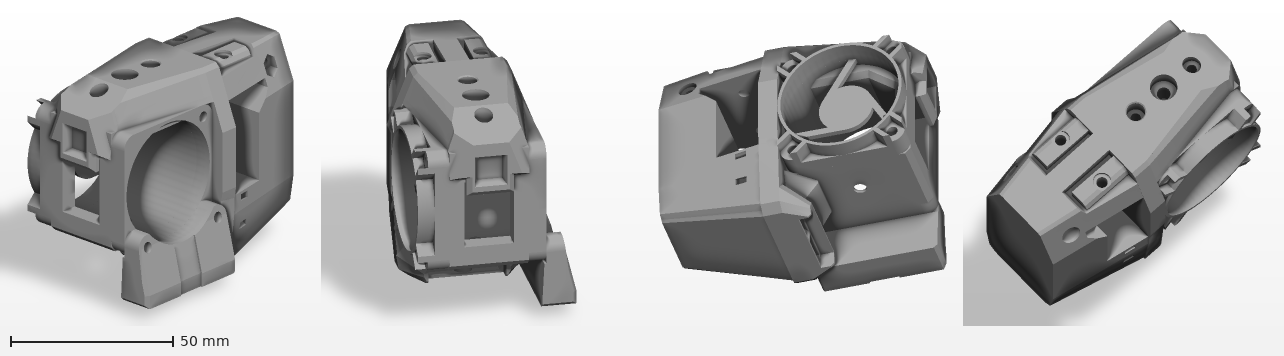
import cadquery as cq
import math


LENGTH = 83.3
HEIGHT = 68.4
FRAME_FRONT_Y = 43.0
FRAME_BACK_Y = 49.15
EPS = 0.8
FAR = 166.6

FAN_SIZE = 40.0
FAN_CORNER_R = 4.2
FAN_BORE_D = 38.0
FAN_HOLE_D = 3.5
FAN_HOLE_OFFSET = 16.0
FAN_CENTER_Y = FRAME_FRONT_Y - FAN_SIZE / 2
FAN_CENTER_Z = 38.3
FAN_OUTER_X = -22.5
FAN_INNER_X = -15.5
FAN_FLANGE_X = -17.2
FAN_SEAT_X = -19.25
FAN_RING_R = FAN_SIZE / 2
POST_HALF_WIDTH = 4.3
POST_SLOT_HALF_WIDTH = 2.8
POST_SLOT_REACH = 3.2

HUB_R = 8.7
STRUT_WIDTH = 2.2
STRUT_COUNT = 3
FIRST_STRUT_ANGLE = 120.0
HUB_THICKNESS = 1.7

HOUSING_HALF_X = 12.6
HOUSING_FRONT_Y = FAN_CENTER_Y - FAN_SIZE / 2
HOUSING_TOP_Z = FAN_CENTER_Z + FAN_SIZE / 2
HOUSING_BOTTOM_Z = FAN_CENTER_Z - FAN_SIZE / 2
HOUSING_BOTTOM_CHAMFER = 1.8
FRONT_WINDOW_HALF_X = 7.75
FRONT_WINDOW_BOTTOM_Z = 26.3
FRONT_WINDOW_TOP_Z = 48.3
CHAMBER_FRONT_Y = 8.6
CHAMBER_TOP_Z = 52.5
CHAMBER_SLOPE_Y = 17.1
CHAMBER_SLOPE_Z = 46.1
CHAMBER_LIP = 1.7

NOSE_BACK_Z = 49.4
NOSE_FRONT_Z = 51.2
NOSE_STRAIGHT_Y = 6.7
NOSE_SLOPE_Y = 15.0
NOSE_SLOPE_Z = 62.0
NOSE_FACET = [(5.7, 0, NOSE_SLOPE_Z), (9.75, 0, NOSE_FRONT_Z), (10.3, 5.0, 64.05)]
TAB_HALF_X = 7.5
TAB_BOTTOM_Z = 44.4
TAB_CHAMFER = 1.6
NOSE_POCKET_HALF_X = 5.1
NOSE_POCKET_BOTTOM_Z = 47.7
NOSE_POCKET_TOP_Z = 57.8
NOSE_POCKET_DEPTH = 3.3
NOSE_POCKET_BEVEL = 1.0

LID_BOTTOM_Z = 60.2
LID_BACK_Y = 40.0
LID_SCREW_OFFSET = 11.75
LID_SCREW_D = 3.2
LID_SCREW_HEAD_D = 5.8
LID_SCREW_CHAMFER_D = 6.6
FILAMENT_HOLE_Y = 22.9
FILAMENT_HOLE_D = 4.2
FILAMENT_COUNTERBORE_D = 8.5
COUNTERBORE_FLOOR_Z = 62.5
LID_SCREW_END_Z = 55.0

FOOT_FRONT_Y = 35.0
FOOT_TOE_CHAMFER = 1.0
FOOT_RECESS_HALF_X = 12.25
FOOT_RECESS_TOP_Z = 5.3
FOOT_RECESS_BACK_Y = 39.15
SLOT_HALF_X = 12.25
SLOT_BOTTOM_Z = 1.0
SLOT_TOP_Z = 4.3
SLOT_CORNER = 1.25
SLOT_DEPTH = 2.5
SLOT_PILLAR_D = 5.8
SPOUT_TOP_Z = 17.3
SPOUT_BOTTOM_Z = 6.7

RIGHT_PLATE_X = 18.1
DUCT_OUTLINE = [
    (18.1, 26.3), (23.65, 26.3), (24.15, 22.5), (27.7, 8.0), (27.7, 3.5),
    (16.7, 3.5), (17.4, 18.3), (18.1, 18.3),
]
DUCT_TOP_R = 4.2
DUCT_BOTTOM_R = 1.0
DUCT_FRONT_CHAMFER = 1.2
DUCT_RELIEF_DEPTH = 0.6
DUCT_RELIEF_Y = (18.3, 27.9)

COWL_WINDOW = [
    (FRAME_BACK_Y, 56.8), (70.05, 56.8), (70.05, 54.0), (63.8, 48.0), (63.8, 25.3), (FRAME_BACK_Y, 25.3),
]
COWL_POCKET_INNER_X = 3.7
COWL_POCKET_PROFILE = [(FRAME_BACK_Y, 63.9), (67.4, 63.9), (70.0, 69.1), (FRAME_BACK_Y, 69.1)]
COWL_PAD_OUTLINE = [(5.7, 63.9), (5.7, 67.1), (10.3, 67.1), (11.7, 66.3), (12.5, 64.8), (12.5, 63.9)]
COWL_PAD_BACK_Y = 66.6
COWL_SCREW_X = 9.4
COWL_SCREW_Y = 57.5
COWL_SCREW_D = 3.5
COWL_SCREW_HEAD_D = 5.7
COWL_SCREW_SEAT_Z = 66.1
SIDE_HOLE_Y = 74.4
SIDE_HOLE_Z = 59.0
SIDE_HOLE_D = 3.5
SIDE_COUNTERBORE_D = 6.1
SIDE_SEAT_X = 10.8
SIDE_HOLE_END_X = 6.7
TIE_Y = (53.65, 57.4)
TIE_CENTER_X = 20.7
TIE_CENTER_Z = 18.4
TIE_INNER_R = 3.8
TIE_OUTER_R = 6.0

FRAME_TOP = [(14.0, HEIGHT), (15.4, 67.05)]
FRAME_SIDE = FRAME_TOP + [(22.5, 48.9), (22.5, 28.8)]
FRAME_FRONT_HALF = FRAME_SIDE + [(21.9, 25.8), (21.15, 14.6), (20.0, 2.3), (16.8, 0)]
FRAME_BACK_HALF = FRAME_SIDE + [(21.9, 25.0), (21.65, 18.9), (20.0, 2.3), (16.8, 0)]
NECK_BACK_HALF = FRAME_TOP + [(18.1, LID_BOTTOM_Z), (18.8, HOUSING_TOP_Z)]
NECK_FRONT_HALF = [(6.8, HEIGHT), (10.0, 66.0), (12.0, LID_BOTTOM_Z), (HOUSING_HALF_X, HOUSING_TOP_Z)]
FOOT_BACK_HALF = [(8.3, 8.25), (17.0, 11.3), (20.8, 7.1), (20.0, 2.3), (16.8, 0)]
FOOT_FRONT_HALF = [(8.3, 5.8), (12.25, 5.8), (13.7, 3.5), (13.7, 2.4), (12.25, 0)]
COWL_FRONT_HALF = FRAME_TOP + [(21.3, 51.2), (21.3, 19.0), (19.6, 3.0), (17.5, 1.75), (16.25, 0.4)]
COWL_BACK_HALF = [
    (8.1, 66.3), (9.3, 65.7), (15.2, 51.65), (15.2, 20.0), (13.75, 11.2), (12.1, 10.25), (11.25, 9.6),
]


def mirrored(half):
    """Closed symmetric outline from the points of its right half."""
    return half + [(-x, z) for x, z in reversed(half)]


def section_loft(front_half, front_y, back_half, back_y):
    """Straight-sided solid between two symmetric upright sections."""
    wires = [
        cq.Wire.makePolygon([cq.Vector(x, y, z) for x, z in mirrored(half)], close=True)
        for half, y in ((front_half, front_y), (back_half, back_y))
    ]
    return cq.Workplane(cq.Solid.makeLoft(wires, True))


def block(x_span, y_span, z_span):
    (x0, x1), (y0, y1), (z0, z1) = x_span, y_span, z_span
    return cq.Workplane(cq.Solid.makeBox(x1 - x0, y1 - y0, z1 - z0, cq.Vector(x0, y0, z0)))


def side_prism(profile, x0, x1):
    """Extrude a (y, z) profile along X."""
    return cq.Workplane("YZ", origin=(x0, 0, 0)).polyline(profile).close().extrude(x1 - x0)


def fan_plane(x):
    return cq.Workplane("YZ", origin=(x, FAN_CENTER_Y, FAN_CENTER_Z))


def fan_square(x0, x1):
    return fan_plane(x0).rect(FAN_SIZE, FAN_SIZE).extrude(x1 - x0).edges("|X").fillet(FAN_CORNER_R)


def fan_bore(x0, x1):
    return fan_plane(x0).circle(FAN_BORE_D / 2).extrude(x1 - x0)


def fan_holes(x0, x1, y_signs=(-1, 1)):
    centers = [(sy * FAN_HOLE_OFFSET, sz * FAN_HOLE_OFFSET) for sy in y_signs for sz in (-1, 1)]
    return fan_plane(x0).pushPoints(centers).circle(FAN_HOLE_D / 2).extrude(x1 - x0)


def upright_cylinder(x, y, diameter, z0, z1):
    return cq.Workplane("XY", origin=(x, y, z0)).circle(diameter / 2).extrude(z1 - z0)


def nose_corner_cut(side):
    """Half space in front of the slanted facet on one side (+1 or -1) of the nose."""
    a, b, c = [cq.Vector(side * x, y, z) for x, y, z in NOSE_FACET]
    normal = (b - a).cross(c - a)
    outward = normal if normal.y < 0 else -normal
    return cq.Workplane(cq.Plane(origin=a, xDir=b - a, normal=outward)).rect(FAR, FAR).extrude(FAR)


def make_neck():
    neck = section_loft(NECK_FRONT_HALF, NOSE_STRAIGHT_Y, NECK_BACK_HALF, FRAME_FRONT_Y)
    front = cq.Workplane("XZ", origin=(0, NOSE_STRAIGHT_Y, 0)).polyline(mirrored(NECK_FRONT_HALF)).close()
    neck = neck.union(front.extrude(NOSE_STRAIGHT_Y))
    underside = [
        (0, HOUSING_TOP_Z), (0, NOSE_FRONT_Z), (HOUSING_FRONT_Y, NOSE_BACK_Z),
        (HOUSING_FRONT_Y, HOUSING_TOP_Z),
    ]
    neck = neck.union(side_prism(underside, -HOUSING_HALF_X, HOUSING_HALF_X))
    roof_wedge = [
        (0, NOSE_SLOPE_Z), (NOSE_SLOPE_Y, HEIGHT), (NOSE_SLOPE_Y, FAR), (-FAR, FAR), (-FAR, NOSE_SLOPE_Z),
    ]
    neck = neck.cut(side_prism(roof_wedge, -FAR, FAR))
    for side in (-1, 1):
        neck = neck.cut(nose_corner_cut(side))
    return neck


def lid_space():
    return block((-FAR, FAR), (-FAR, LID_BACK_Y), (LID_BOTTOM_Z, FAR))


def make_lid(neck):
    lid = neck.intersect(lid_space())
    chamfer_drop = (LID_SCREW_CHAMFER_D - LID_SCREW_HEAD_D) / 2
    for y in (FILAMENT_HOLE_Y - LID_SCREW_OFFSET, FILAMENT_HOLE_Y + LID_SCREW_OFFSET):
        lid = lid.cut(upright_cylinder(0, y, LID_SCREW_D, 0, FAR))
        lid = lid.cut(upright_cylinder(0, y, LID_SCREW_HEAD_D, COUNTERBORE_FLOOR_Z, FAR))
    rear_screw_y = FILAMENT_HOLE_Y + LID_SCREW_OFFSET
    rim_center = cq.Vector(0, rear_screw_y, HEIGHT - chamfer_drop)
    rim = cq.Solid.makeCone(LID_SCREW_HEAD_D / 2, LID_SCREW_CHAMFER_D / 2, chamfer_drop, rim_center)
    lid = lid.cut(cq.Workplane(rim))
    return lid.cut(filament_hole()).cut(
        upright_cylinder(0, FILAMENT_HOLE_Y, FILAMENT_COUNTERBORE_D, COUNTERBORE_FLOOR_Z, FAR)
    )


def filament_hole():
    return upright_cylinder(0, FILAMENT_HOLE_Y, FILAMENT_HOLE_D, 0, FAR)


def make_foot():
    foot = section_loft(FOOT_FRONT_HALF, FOOT_FRONT_Y, FOOT_BACK_HALF, FRAME_FRONT_Y)
    toe = [
        (FOOT_FRONT_Y, 0), (FOOT_FRONT_Y, FOOT_TOE_CHAMFER), (FOOT_FRONT_Y + FOOT_TOE_CHAMFER, 0),
    ]
    foot = foot.cut(side_prism(toe, -FAR, FAR))
    recess_x = (-FOOT_RECESS_HALF_X, FOOT_RECESS_HALF_X)
    foot = foot.cut(block(recess_x, (0, FOOT_RECESS_BACK_Y), (-EPS, FOOT_RECESS_TOP_Z)))
    slot_y = (FOOT_RECESS_BACK_Y, FOOT_RECESS_BACK_Y + SLOT_DEPTH)
    slot = block((-SLOT_HALF_X, SLOT_HALF_X), slot_y, (SLOT_BOTTOM_Z, SLOT_TOP_Z))
    slot = slot.edges("|Y").chamfer(SLOT_CORNER)
    pillar_y = FOOT_RECESS_BACK_Y + SLOT_PILLAR_D / 2
    pillar = upright_cylinder(0, pillar_y, SLOT_PILLAR_D, SLOT_BOTTOM_Z, SLOT_TOP_Z)
    return foot.cut(slot.cut(pillar))


def make_spout():
    """Wedge that narrows from the housing floor down to the foot."""
    back_y = FRAME_FRONT_Y
    top = [(15.2, back_y), (7.3, 34.3), (-7.3, 34.3), (-15.2, back_y)]
    bottom = [(9.2, back_y), (8.75, 41.2), (-8.75, 41.2), (-9.2, back_y)]
    wires = [
        cq.Wire.makePolygon([cq.Vector(x, y, z) for x, y in outline], close=True)
        for outline, z in ((bottom, SPOUT_BOTTOM_Z), (top, SPOUT_TOP_Z))
    ]
    spout = cq.Workplane(cq.Solid.makeLoft(wires, True))
    collar_height = HOUSING_BOTTOM_Z - SPOUT_TOP_Z
    collar = cq.Workplane("XY", origin=(0, 0, SPOUT_TOP_Z)).polyline(top).close().extrude(collar_height)
    return spout.union(collar)


def make_chamber():
    """Air space of the housing: the fan bore, flattened at its ceiling and front."""
    outline = [
        (CHAMBER_FRONT_Y, HOUSING_BOTTOM_Z), (CHAMBER_FRONT_Y, CHAMBER_SLOPE_Z),
        (CHAMBER_SLOPE_Y, CHAMBER_TOP_Z),
        (FRAME_FRONT_Y, CHAMBER_TOP_Z), (FRAME_FRONT_Y, HOUSING_BOTTOM_Z),
    ]
    core = side_prism(outline, -HOUSING_HALF_X, HOUSING_HALF_X)
    lip = cq.Workplane("YZ", origin=(-HOUSING_HALF_X, 0, 0)).polyline(outline).close()
    lip = lip.offset2D(CHAMBER_LIP, "intersection").extrude(CHAMBER_LIP, taper=45)
    return core.union(lip).intersect(fan_bore(-HOUSING_HALF_X, HOUSING_HALF_X))


def make_housing():
    housing = block(
        (-HOUSING_HALF_X, HOUSING_HALF_X), (HOUSING_FRONT_Y, FRAME_FRONT_Y), (HOUSING_BOTTOM_Z, HOUSING_TOP_Z)
    )
    return housing.faces("<Y").edges("<Z").chamfer(HOUSING_BOTTOM_CHAMFER)


def make_tab():
    tab = block((-TAB_HALF_X, TAB_HALF_X), (0, HOUSING_FRONT_Y), (TAB_BOTTOM_Z, NOSE_FRONT_Z))
    return tab.faces("<Y").edges("|Z or <Z").chamfer(TAB_CHAMFER)


def make_nose_pocket():
    """Bevelled pocket in the front of the nose."""
    height = NOSE_POCKET_TOP_Z - NOSE_POCKET_BOTTOM_Z
    center = (0, 0, (NOSE_POCKET_TOP_Z + NOSE_POCKET_BOTTOM_Z) / 2)
    taper = math.degrees(math.atan(NOSE_POCKET_BEVEL / NOSE_POCKET_DEPTH))
    return cq.Workplane("XZ", origin=center).rect(2 * NOSE_POCKET_HALF_X, height).extrude(
        -NOSE_POCKET_DEPTH, taper=taper
    )


def make_shroud(neck):
    frame = section_loft(FRAME_FRONT_HALF, FRAME_FRONT_Y, FRAME_BACK_HALF, FRAME_BACK_Y)
    shroud = frame.union(make_foot()).union(make_spout())
    shroud = shroud.union(make_housing()).union(neck.cut(lid_space())).cut(make_chamber())
    front_window = block(
        (-FRONT_WINDOW_HALF_X, FRONT_WINDOW_HALF_X),
        (HOUSING_FRONT_Y, CHAMBER_FRONT_Y + EPS),
        (FRONT_WINDOW_BOTTOM_Z, FRONT_WINDOW_TOP_Z),
    )
    shroud = shroud.cut(front_window).union(make_tab()).cut(make_nose_pocket())
    shroud = shroud.cut(fan_holes(-HOUSING_HALF_X, HOUSING_HALF_X, y_signs=(1,)))
    for y in (FILAMENT_HOLE_Y - LID_SCREW_OFFSET, FILAMENT_HOLE_Y + LID_SCREW_OFFSET):
        shroud = shroud.cut(upright_cylinder(0, y, LID_SCREW_D, LID_SCREW_END_Z, FAR))
    return shroud.cut(filament_hole())


def make_fan_frame():
    ring = fan_plane(FAN_OUTER_X).circle(FAN_RING_R).extrude(FAN_INNER_X - FAN_OUTER_X)
    slot_start = FAN_HOLE_OFFSET * math.sqrt(2) - POST_SLOT_REACH
    axis = [(x, FAN_CENTER_Y, FAN_CENTER_Z) for x in (FAN_OUTER_X, FAN_INNER_X)]
    for angle in (45, 135, 225, 315):
        post = fan_plane(FAN_OUTER_X).center(FAN_SIZE / 2, 0).rect(FAN_SIZE, 2 * POST_HALF_WIDTH)
        post = post.extrude(FAN_INNER_X - FAN_OUTER_X)
        slot = fan_plane(FAN_OUTER_X).center(slot_start + FAN_SIZE / 2, 0)
        slot = slot.rect(FAN_SIZE, 2 * POST_SLOT_HALF_WIDTH).extrude(FAN_SEAT_X - FAN_OUTER_X)
        ring = ring.union(post.cut(slot).rotate(*axis, angle))
    frame = ring.intersect(fan_square(FAN_OUTER_X, FAN_INNER_X))
    frame = frame.union(fan_square(FAN_FLANGE_X, FAN_INNER_X))
    frame = frame.cut(fan_bore(FAN_OUTER_X, FAN_INNER_X))
    return frame.cut(fan_holes(FAN_OUTER_X, FAN_INNER_X))


def make_spider_plate():
    """Plate behind the fan frame, carrying the hub on three tangent struts."""
    plate = fan_square(FAN_INNER_X, -HOUSING_HALF_X).cut(fan_bore(FAN_INNER_X, -HOUSING_HALF_X))
    hub = fan_plane(FAN_INNER_X).circle(HUB_R).extrude(HUB_THICKNESS)
    strut_length = FAN_BORE_D / 2 + EPS / 2
    for index in range(STRUT_COUNT):
        strut = fan_plane(FAN_INNER_X).center(strut_length / 2, STRUT_WIDTH / 2 - HUB_R)
        strut = strut.rect(strut_length, STRUT_WIDTH).extrude(HUB_THICKNESS)
        angle = FIRST_STRUT_ANGLE + index * 360 / STRUT_COUNT
        strut = strut.rotate(
            (FAN_INNER_X, FAN_CENTER_Y, FAN_CENTER_Z), (0, FAN_CENTER_Y, FAN_CENTER_Z), angle
        )
        hub = hub.union(strut.intersect(fan_square(FAN_INNER_X, -HOUSING_HALF_X)))
    return plate.union(hub).cut(fan_holes(FAN_INNER_X, -HOUSING_HALF_X, y_signs=(1,)))


def make_right_plate():
    plate = fan_square(HOUSING_HALF_X, RIGHT_PLATE_X).cut(fan_bore(HOUSING_HALF_X, RIGHT_PLATE_X))
    return plate.cut(fan_holes(HOUSING_HALF_X, RIGHT_PLATE_X, y_signs=(1,)))


def make_duct_relief():
    """Tool that takes a thin layer off the middle of the outer wall."""
    wall = [(x - DUCT_RELIEF_DEPTH, z) for x, z in DUCT_OUTLINE[2:5]]
    outside = [(FAR, wall[-1][1]), (FAR, wall[0][1])]
    near_y, far_y = DUCT_RELIEF_Y
    relief = cq.Workplane("XZ", origin=(0, far_y, 0)).polyline(wall + outside).close()
    return relief.extrude(far_y - near_y)


def make_side_duct():
    tops = [z for _, z in DUCT_OUTLINE]
    height = max(tops) - min(tops)
    center = (0, FAN_CENTER_Y, (max(tops) + min(tops)) / 2)
    envelope = cq.Workplane("YZ", origin=center).rect(FAN_SIZE, height).extrude(FAR)
    envelope = envelope.edges("|X and >Z").fillet(DUCT_TOP_R).edges("|X and <Z").fillet(DUCT_BOTTOM_R)
    duct = cq.Workplane("XZ", origin=(0, FRAME_FRONT_Y, 0)).polyline(DUCT_OUTLINE).close().extrude(FAN_SIZE)
    front_outer_edges = cq.selectors.BoxSelector((RIGHT_PLATE_X, 0, 0), (FAR, HOUSING_FRONT_Y + EPS, 16.7))
    duct = duct.edges(front_outer_edges).chamfer(DUCT_FRONT_CHAMFER)
    duct = duct.intersect(envelope).cut(fan_bore(0, FAR)).cut(fan_holes(0, FAR)).cut(make_duct_relief())
    return duct.cut(section_loft(FOOT_FRONT_HALF, FOOT_FRONT_Y, FOOT_BACK_HALF, FRAME_FRONT_Y))


def cut_cowl_top(cowl, side):
    """Pocket beside the centre rib, with a screw pad on its floor."""
    cowl = cowl.cut(side_prism(COWL_POCKET_PROFILE, side * COWL_POCKET_INNER_X, side * FAR))
    pad = cq.Workplane("XZ", origin=(0, COWL_PAD_BACK_Y, 0))
    pad = pad.polyline([(side * x, z) for x, z in COWL_PAD_OUTLINE]).close()
    cowl = cowl.union(pad.extrude(COWL_PAD_BACK_Y - FRAME_BACK_Y))
    x = side * COWL_SCREW_X
    cowl = cowl.cut(upright_cylinder(x, COWL_SCREW_Y, COWL_SCREW_D, FAN_CENTER_Z, FAR))
    return cowl.cut(upright_cylinder(x, COWL_SCREW_Y, COWL_SCREW_HEAD_D, COWL_SCREW_SEAT_Z, FAR))


def cut_cowl_side(cowl, side):
    """Blind cross hole and a curved cable-tie tunnel in one flank."""
    hole = cq.Workplane("YZ", origin=(side * SIDE_HOLE_END_X, SIDE_HOLE_Y, SIDE_HOLE_Z))
    cowl = cowl.cut(hole.circle(SIDE_HOLE_D / 2).extrude(side * FAR))
    seat = cq.Workplane("YZ", origin=(side * SIDE_SEAT_X, SIDE_HOLE_Y, SIDE_HOLE_Z))
    if side < 0:
        seat = seat.circle(SIDE_COUNTERBORE_D / 2)
    else:
        seat = seat.polygon(6, SIDE_COUNTERBORE_D, circumscribed=True)
    cowl = cowl.cut(seat.extrude(side * FAR))
    near_y, far_y = TIE_Y
    loop = cq.Workplane("XZ", origin=(side * TIE_CENTER_X, far_y, TIE_CENTER_Z))
    loop = loop.circle(TIE_OUTER_R).circle(TIE_INNER_R).extrude(far_y - near_y)
    cowl = cowl.cut(loop)
    return cowl


def make_cowl():
    cowl = section_loft(COWL_FRONT_HALF, FRAME_BACK_Y, COWL_BACK_HALF, LENGTH)
    cowl = cowl.cut(side_prism(COWL_WINDOW, -FAR, FAR))
    for side in (-1, 1):
        cowl = cut_cowl_side(cut_cowl_top(cowl, side), side)
    return cowl


neck = make_neck()
lid = make_lid(neck)
shroud = make_shroud(neck)
fan_frame = make_fan_frame()
spider_plate = make_spider_plate()
right_plate = make_right_plate()
side_duct = make_side_duct()
cowl = make_cowl()

bodies = [shroud, lid, fan_frame, spider_plate, right_plate, side_duct, cowl]
result = cq.Compound.makeCompound([body.val() for body in bodies])